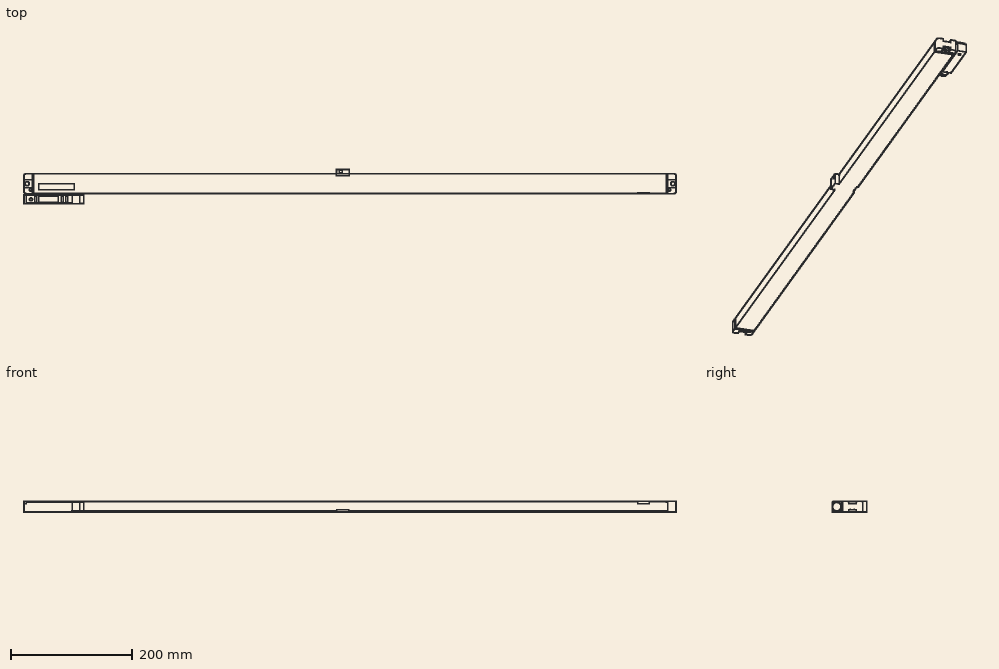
import cadquery as cq

length = 1075.0
height = 18.0
overall_depth = 57.0
rail_back = 22.0
rail_front = -12.0
top = height / 2
bottom = -top

channel_depth = 1.0
upper_lip = 1.0
lower_lip = 2.0

end_length = 16.0
end_corner_radius = 4.0
tongue_thickness = 10.0
recess_width = 13.0
recess_length = 14.0
mount_hole_diameter = 6.0
mount_hole_inset = 5.0
mount_hole_y = 4.8
pin_hole_diameter = 4.0
pin_hole_inset = 12.0
pin_hole_y = -5.0
joint_depth = 1.0
joint_width = 2.0

shallow_depth = 1.0

label_length = 58.0
label_width = 10.0
label_x = -484.0
label_y = 0.0

notch_length = 19.0
notch_height = 4.0
notch_depth = 2.0
lower_notch_x = -12.0
upper_notch_x = 484.0

lug_back = overall_depth / 2
lug_length = 22.0
lug_x = -12.0
lug_seat_width = 3.0
lug_hole_diameter = 5.0
lug_hole_depth = 5.0
lug_hole_offset = -3.0

head_gap = 1.6
head_front = -overall_depth / 2
head_length = 80.0
head_back = rail_front - head_gap
head_depth = head_back - head_front
head_middle = (head_front + head_back) / 2
head_start = -length / 2
head_end = head_start + head_length
head_edge_chamfer = 2.0
head_corner_step = 4.0
window_length = 32.0
window_width = 10.0
window_x = -497.0
groove_width = 3.0
groove_places = (-518.0, -474.0, -467.0)
head_hole_diameter = 4.0
head_hole_inset = 12.0
gland_diameter = head_depth
gland_length = 13.0
collar_diameter = 14.0
collar_length = 6.0


def box(x_start, x_end, y_start, y_end, z_start, z_end):
    """A block between two limits on each axis."""
    return cq.Workplane("XY").box(
        x_end - x_start, y_end - y_start, z_end - z_start, centered=False
    ).translate((x_start, y_start, z_start))


def top_recess(x_middle, y_middle, size_x, size_y):
    """Cutter for a shallow rectangular recess in a top face."""
    return (
        cq.Workplane("XY", origin=(x_middle, y_middle, top - shallow_depth))
        .rect(size_x, size_y)
        .extrude(shallow_depth)
    )


def upright_hole(x_middle, y_middle, diameter, depth):
    """Cutter for a round hole going down from the top face."""
    return (
        cq.Workplane("XY", origin=(x_middle, y_middle, top))
        .circle(diameter / 2)
        .extrude(-depth)
    )


def right_end_cuts():
    """Cutters for the mounting end at the +X tip."""
    tip = length / 2
    half_tongue = tongue_thickness / 2
    recess_y = (mount_hole_y - recess_width / 2, mount_hole_y + recess_width / 2)
    cuts = upright_hole(tip - mount_hole_inset, mount_hole_y, mount_hole_diameter, height)
    cuts = cuts.union(upright_hole(tip - pin_hole_inset, pin_hole_y, pin_hole_diameter, height))
    for z_start, z_end in ((half_tongue, top), (bottom, -half_tongue)):
        cuts = cuts.union(box(tip - recess_length, tip, *recess_y, z_start, z_end))

    joint_x = tip - end_length
    joint = box(joint_x, joint_x + joint_width, rail_front, rail_back, bottom, top)
    core = box(
        joint_x, joint_x + joint_width,
        rail_front + joint_depth, rail_back - joint_depth,
        bottom + joint_depth, top - joint_depth,
    )
    return cuts.union(joint.cut(core))


def front_channel():
    """Cutter that sets the front face back between the two lips, from one mounting end to the other."""
    half_bar = length / 2 - end_length
    return box(
        -half_bar, half_bar, rail_front, rail_front + channel_depth,
        bottom + lower_lip, top - upper_lip,
    )


def make_rail():
    bar = box(-length / 2, length / 2, rail_front, rail_back, bottom, top)
    bar = bar.edges("|Z").fillet(end_corner_radius)
    bar = bar.cut(front_channel())

    end_cuts = right_end_cuts()
    bar = bar.cut(end_cuts).cut(end_cuts.mirror("YZ"))
    bar = bar.cut(top_recess(label_x, label_y, label_length, label_width))

    for x_middle, z_start in ((lower_notch_x, bottom), (upper_notch_x, top - notch_height)):
        notch = box(
            x_middle - notch_length / 2, x_middle + notch_length / 2,
            rail_front, rail_front + notch_depth, z_start, z_start + notch_height,
        )
        bar = bar.cut(notch)

    lug = box(lug_x - lug_length / 2, lug_x + lug_length / 2, rail_back, lug_back, bottom, top)
    lug = lug.cut(upright_hole(
        lug_x + lug_hole_offset, (rail_back + lug_back) / 2, lug_hole_diameter, lug_hole_depth
    ))
    seat = top_recess(lug_x, rail_back - lug_seat_width / 2, lug_length, lug_seat_width)
    return bar.cut(seat).union(lug)


def make_head():
    head = box(head_start, head_end, head_front, head_back, bottom, top)
    head = head.edges(">Z and <Y").chamfer(head_edge_chamfer)

    head = head.cut(box(
        head_start, head_start + head_corner_step, head_front, head_back,
        top - head_corner_step, top,
    ))
    head = head.cut(top_recess(window_x, head_middle, window_length, window_width))
    for groove_x in groove_places:
        head = head.cut(top_recess(groove_x, head_middle, groove_width, window_width))
    head = head.cut(upright_hole(
        head_start + head_hole_inset, head_middle, head_hole_diameter, height
    ))

    gland = (
        cq.Workplane("YZ", origin=(head_end, head_middle, 0))
        .circle(gland_diameter / 2)
        .extrude(gland_length)
        .faces(">X")
        .workplane()
        .circle(collar_diameter / 2)
        .extrude(collar_length)
    )
    return head.union(gland)


rail = make_rail()
head = make_head()

result = cq.Compound.makeCompound([rail.val(), head.val()])